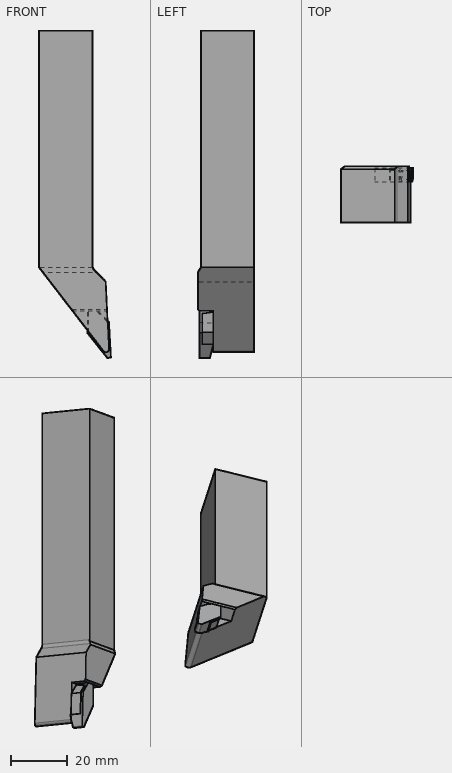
import cadquery as cq

length = 115.6
shank_width = 19.0
shank_depth = 18.9
heel_height = 32.0

head_depth = 19.9
head_ramp_height = 1.6
shoulder = (23.6, 27.1)
head_apex = (24.9, -0.2)
head_tip_radius = 1.1
neck_radius = 2.2

seat_y = 14.5
seat_top = 16.7
insert_top_y = 19.3

insert_left = 17.0
insert_heel = 9.0
insert_right = (24.7, 12.7)
insert_nose_left = (24.2, 0.0)
insert_nose_right = (25.5, 0.2)
nose_radius = 0.2
nose_underside_y = 15.6
underside_rise = 4.6

rim_thickness = 0.9
relief_depth = 0.3
relief_bottom = 4.9
relief_top = 15.7
relief_end_rise = 0.6

margin = 1.2


def extrude_to_back(points, front_y, back_y):
    """Extrude an XZ outline from front_y to back_y."""
    outline = cq.Workplane("XZ", origin=(0, front_y, 0)).polyline(points).close()
    return outline.extrude(front_y - back_y)


def extrude_across(points):
    """Extrude a YZ outline across the full width of the head."""
    outline = cq.Workplane("YZ", origin=(-margin, 0, 0)).polyline(points).close()
    return outline.extrude(insert_nose_right[0] + 2 * margin)


def make_holder():
    neck = (shank_width, shoulder[1] + shoulder[0] - shank_width)
    outline = [(0, length), (0, heel_height), head_apex, shoulder, neck, (shank_width, length)]
    holder = extrude_to_back(outline, 0, head_depth)
    holder = holder.edges("|Y").edges("<Z").fillet(head_tip_radius)
    neck_edge = holder.edges(cq.selectors.NearestToPointSelector((neck[0], head_depth / 2, neck[1])))
    holder = neck_edge.fillet(neck_radius)

    shank_relief = extrude_across([
        (shank_depth, length + margin),
        (shank_depth, heel_height),
        (head_depth, heel_height - head_ramp_height),
        (head_depth + margin, heel_height - head_ramp_height),
        (head_depth + margin, length + margin),
    ])

    bevel = head_depth - insert_top_y
    seat = extrude_across([
        (seat_y, -margin),
        (seat_y, seat_top),
        (insert_top_y, seat_top),
        (head_depth, seat_top + bevel),
        (head_depth + margin, seat_top + bevel),
        (head_depth + margin, -margin),
    ])
    return holder.cut(shank_relief).cut(seat)


def make_insert():
    corner_cut = seat_top - insert_right[1]
    outline = [
        (insert_left, seat_top),
        (insert_left, insert_heel),
        insert_nose_left,
        insert_nose_right,
        insert_right,
        (insert_right[0] - corner_cut, seat_top),
    ]
    insert = extrude_to_back(outline, seat_y, insert_top_y)
    nose_edges = insert.edges("|Y").edges(cq.selectors.BoxSelector(
        (insert_nose_left[0] - margin, 0, -margin),
        (insert_nose_right[0] + margin, head_depth, margin),
    ))
    insert = nose_edges.fillet(nose_radius)

    rim_y = insert_top_y - rim_thickness
    core = (
        cq.Workplane("XZ", origin=(0, seat_y, 0))
        .polyline(outline).close()
        .offset2D(-relief_depth)
        .extrude(seat_y - rim_y)
    )
    middle = extrude_across([
        (seat_y, relief_bottom),
        (seat_y, relief_top + relief_end_rise),
        (rim_y, relief_top),
        (rim_y, relief_bottom),
    ])
    insert = insert.cut(middle.cut(core))

    underside = extrude_across([
        (seat_y - margin, -margin),
        (seat_y - margin, underside_rise),
        (seat_y, underside_rise),
        (nose_underside_y, 0),
        (nose_underside_y, -margin),
    ])
    return insert.cut(underside)


holder = make_holder()
insert = make_insert()

result = cq.Compound.makeCompound([holder.val(), insert.val()])